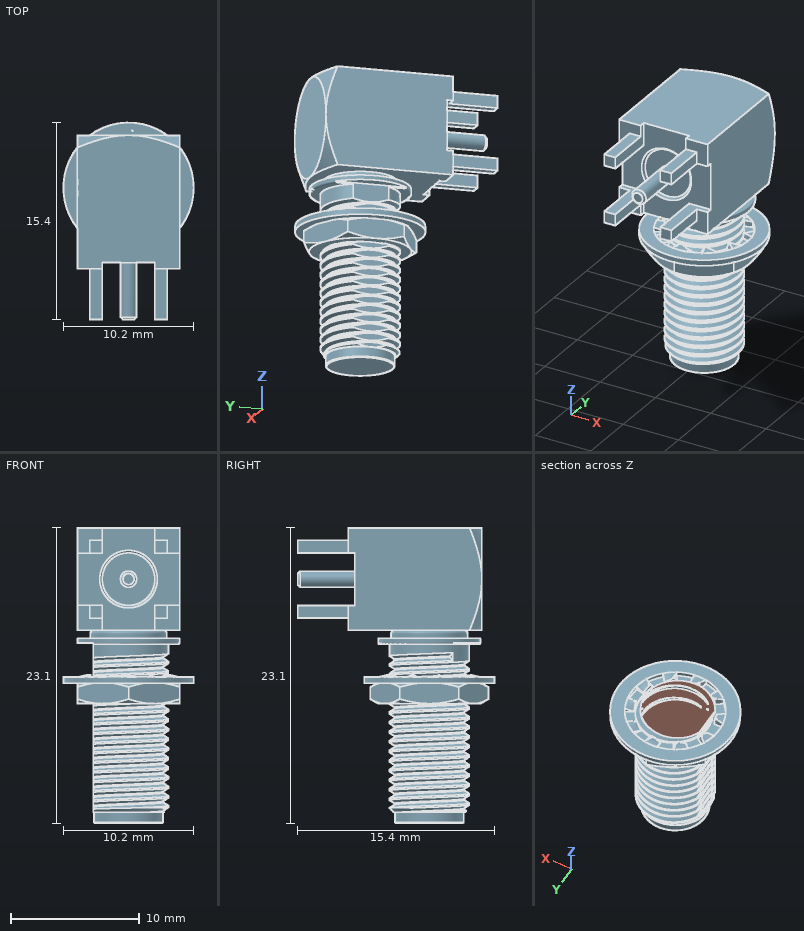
import cadquery as cq
import math


body_side = 8.0
body_back_y = 4.1
foot_face_y = -6.34
foot_height = 0.5
cone_angle = math.radians(30)
overlap = 0.3

leg_pitch = 5.08
leg_side = 1.0
leg_length = 3.95
pin_radius = 0.635
pin_chamfer = 0.2
countersink_radius = 2.25
countersink_depth = 0.2

body_bottom_z = -body_side / 2
neck_radius = 3.0
neck_round = 0.3
neck_round_start_z = -4.27
flange_radius = 4.0
flange_top_z = -4.6
flange_bottom_z = -5.1
flange_top_round = 0.1
flange_bottom_round = 0.15

thread_radius = 3.125
thread_pitch = 0.75
groove_root_radius = 2.73
groove_root_width = 0.1
groove_mouth_width = 0.62
groove_cut_radius = 3.2
groove_first_z = -6.125
groove_turns = 17
groove_run_out = 0.1
thread_end_radius = 2.79
thread_end_z = -18.2
tip_radius = 2.7
tip_chamfer = 0.07
tip_z = -19.05
flat_distance = 2.77
flat_top_z = -4.99

washer_radius = 5.1
washer_bore_radius = 3.94
washer_top_z = -7.63
washer_thickness = 0.5
tooth_count = 10
tooth_thickness = 0.48
tooth_tip_radius = 3.2
tooth_width_angle = math.radians(16)
tooth_twist = 30.0
tooth_root_overlap = 0.05
first_tooth_angle = 18.0

nut_flats = 8.0
hex_half_angle = 30.0
nut_height = 1.65
nut_bottom_z = -9.72
nut_bore_radius = 2.9


def make_body():
    """Square block turned conical at the back, with a raised foot at each front corner."""
    recess_y = foot_face_y + foot_height
    foot_side = (body_side - leg_pitch + leg_side) / 2
    foot_centre = (body_side - foot_side) / 2
    body = cq.Workplane("XZ", origin=(0, recess_y, 0)).rect(body_side, body_side)
    body = body.extrude(recess_y - body_back_y)
    feet = (
        cq.Workplane("XZ", origin=(0, foot_face_y, 0))
        .rect(2 * foot_centre, 2 * foot_centre, forConstruction=True)
        .vertices()
        .rect(foot_side, foot_side)
        .extrude(-foot_height - overlap)
    )
    return body.union(feet).intersect(make_back_cone())


def make_back_cone():
    """Turned envelope that bevels the corners of the back face."""
    envelope_radius = body_side
    bevel_depth = (envelope_radius - body_side / 2) * math.tan(cone_angle)
    return (
        cq.Workplane("XY")
        .moveTo(0, body_back_y)
        .lineTo(body_side / 2, body_back_y)
        .lineTo(envelope_radius, body_back_y - bevel_depth)
        .lineTo(envelope_radius, foot_face_y)
        .lineTo(0, foot_face_y)
        .close()
        .revolve(360, (0, 0, 0), (0, 1, 0))
    )


def make_countersink():
    """Shallow tapered recess around the centre pin."""
    recess_y = foot_face_y + foot_height
    return cq.Workplane(
        cq.Solid.makeCone(
            countersink_radius,
            countersink_radius - countersink_depth,
            countersink_depth,
            cq.Vector(0, recess_y, 0),
            cq.Vector(0, 1, 0),
        )
    )


def make_pins():
    """Four square legs and the round centre pin, all ending in one plane."""
    pin_end_y = foot_face_y - leg_length
    pin_length = leg_length + foot_height + countersink_depth + overlap
    legs = (
        cq.Workplane("XZ", origin=(0, pin_end_y, 0))
        .rect(leg_pitch, leg_pitch, forConstruction=True)
        .vertices()
        .rect(leg_side, leg_side)
        .extrude(-leg_length - overlap)
    )
    centre_pin = (
        cq.Workplane("XZ", origin=(0, pin_end_y, 0))
        .circle(pin_radius)
        .extrude(-pin_length)
        .faces("<Y")
        .chamfer(pin_chamfer)
    )
    return legs.union(centre_pin)


def make_disc(radius, top_z, bottom_z):
    """Plain cylinder on the barrel axis between two heights."""
    return cq.Workplane("XY", origin=(0, 0, bottom_z)).circle(radius).extrude(top_z - bottom_z)


def make_neck():
    """Rounded collar under the body and the flange below it."""
    neck = make_disc(neck_radius, neck_round_start_z + neck_round, flange_top_z - overlap)
    neck = neck.faces(">Z").edges().fillet(neck_round)
    core = make_disc(neck_radius - neck_round, body_bottom_z + overlap, flange_top_z)
    flange = make_disc(flange_radius, flange_top_z, flange_bottom_z)
    flange = flange.faces(">Z").edges().fillet(flange_top_round)
    flange = flange.faces("<Z").edges().fillet(flange_bottom_round)
    return neck.union(core).union(flange)


def make_thread_groove():
    """Right-handed helical groove with a trapezoid section."""
    bottom_z = groove_first_z - groove_turns * thread_pitch
    height = (groove_turns + groove_run_out) * thread_pitch
    flank_slope = (groove_mouth_width - groove_root_width) / 2 / (thread_radius - groove_root_radius)
    root_half = groove_root_width / 2
    mouth_half = root_half + flank_slope * (groove_cut_radius - groove_root_radius)
    path = cq.Wire.makeHelix(thread_pitch, height, groove_root_radius, cq.Vector(0, 0, bottom_z))
    return (
        cq.Workplane("XZ")
        .moveTo(groove_root_radius, bottom_z - root_half)
        .lineTo(groove_cut_radius, bottom_z - mouth_half)
        .lineTo(groove_cut_radius, bottom_z + mouth_half)
        .lineTo(groove_root_radius, bottom_z + root_half)
        .close()
        .sweep(cq.Workplane(path), isFrenet=True)
    )


def make_barrel():
    """Threaded barrel with a bevelled thread end and a plain tip."""
    bevel = thread_radius - thread_end_radius
    barrel = (
        cq.Workplane("XZ")
        .moveTo(0, flange_bottom_z + overlap)
        .lineTo(thread_radius, flange_bottom_z + overlap)
        .lineTo(thread_radius, thread_end_z + bevel)
        .lineTo(thread_end_radius, thread_end_z)
        .lineTo(tip_radius, thread_end_z)
        .lineTo(tip_radius, tip_z + tip_chamfer)
        .lineTo(tip_radius - tip_chamfer, tip_z)
        .lineTo(0, tip_z)
        .close()
        .revolve(360, (0, 0, 0), (0, 1, 0))
        .rotate((0, 0, 0), (0, 0, 1), -90)
    )
    return barrel.cut(make_thread_groove())


def make_flat_cutter():
    """Block filling everything beyond the flat on the -X side of the barrel."""
    return (
        cq.Workplane("XY", origin=(-flat_distance - flange_radius / 2, 0, flat_top_z))
        .rect(flange_radius, 2 * washer_radius)
        .extrude(tip_z - flat_top_z)
    )


def make_washer_tooth():
    """One tooth along +X, flat at the rim and twisted at its tip."""
    root_radius = washer_bore_radius + tooth_root_overlap
    width_per_radius = 2 * math.tan(tooth_width_angle / 2)
    return (
        cq.Workplane("YZ", origin=(root_radius, 0, 0))
        .rect(width_per_radius * root_radius, tooth_thickness)
        .workplane(offset=tooth_tip_radius - root_radius)
        .transformed(rotate=(0, 0, -tooth_twist))
        .rect(width_per_radius * tooth_tip_radius, tooth_thickness)
        .loft(ruled=True)
    )


def make_washer():
    """Flat ring with a circle of twisted teeth inside its bore."""
    mid_z = washer_top_z - washer_thickness / 2
    washer = make_disc(washer_radius, washer_top_z, washer_top_z - washer_thickness)
    washer = washer.cut(make_disc(washer_bore_radius, washer_top_z, washer_top_z - washer_thickness))
    tooth = make_washer_tooth().translate((0, 0, mid_z))
    for index in range(tooth_count):
        angle = first_tooth_angle + index * 360 / tooth_count
        washer = washer.union(tooth.rotate((0, 0, 0), (0, 0, 1), angle))
    return washer


def make_nut():
    """Hex nut with flats on +X and -X and its corners turned off on both faces."""
    corner_radius = nut_flats / 2 / math.cos(math.radians(hex_half_angle))
    face_radius = nut_flats / 2
    bevel_depth = (corner_radius - face_radius) * math.tan(cone_angle)
    hexagon = (
        cq.Workplane("XY", origin=(0, 0, nut_bottom_z))
        .polygon(6, 2 * corner_radius)
        .extrude(nut_height)
        .rotate((0, 0, 0), (0, 0, 1), hex_half_angle)
    )
    turned = make_disc(corner_radius, nut_bottom_z + nut_height, nut_bottom_z)
    turned = turned.edges("%CIRCLE").chamfer(bevel_depth, corner_radius - face_radius)
    bore = make_disc(nut_bore_radius, nut_bottom_z + nut_height, nut_bottom_z)
    return hexagon.intersect(turned).cut(bore)


stem = make_neck().union(make_barrel()).cut(make_flat_cutter())
result = make_body().cut(make_countersink()).union(make_pins())
result = result.union(stem)
result = result.union(make_nut()).union(make_washer())